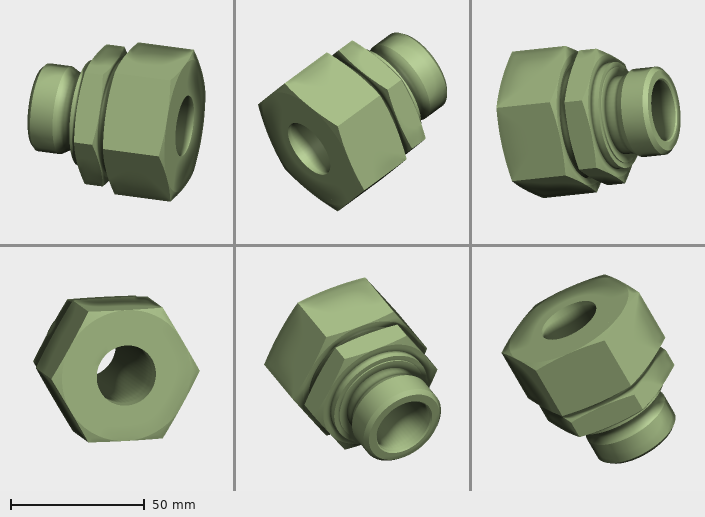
import cadquery as cq
import math


seal_front_x = 17.5
flange_x = 18.0
body_hex_start_x = 21.0
body_hex_end_x = 30.0
nut_start_x = 33.0
nut_end_x = 57.0

stud_diameter = 33.25
stud_chamfer = 1.5
stud_straight_end_x = 10.3
neck_diameter = 29.6
runout_angle = 30.0
runout_fillet = 1.8

flange_diameter = 40.0
body_hex_across_flats = 46.0
nut_across_flats = 50.0
hex_chamfer_angle = 15.0

spigot_diameter = 45.0
spigot_neck_diameter = 42.0
spigot_neck_end_x = 33.4
spigot_runout_angle = 30.0
spigot_neck_fillet = 0.75

bore_diameter = 23.0
bore_chamfer = 0.5

seal_diameter = 36.0
seal_length = 2.5


def cylinder(diameter, start_x, end_x):
    """Round bar along X."""
    return cq.Workplane("YZ", origin=(start_x, 0, 0)).circle(diameter / 2).extrude(end_x - start_x)


def revolve_about_x(profile):
    """Turn a closed outline of axial and radial positions about X."""
    return profile.close().revolve(360, (0, 0, 0), (1, 0, 0))


def chamfered_hexagon(across_flats, start_x, end_x):
    """Hexagon bar with flats facing +Z and -Z, its corners turned down by a cone at both ends."""
    across_corners = across_flats / math.cos(math.radians(30))
    flat_radius = across_flats / 2
    corner_radius = across_corners / 2
    corner_drop = (corner_radius - flat_radius) * math.tan(math.radians(hex_chamfer_angle))

    bar = cq.Workplane("YZ", origin=(start_x, 0, 0)).polygon(6, across_corners).extrude(end_x - start_x)
    turned_envelope = revolve_about_x(
        cq.Workplane("XY")
        .moveTo(start_x, 0)
        .lineTo(start_x, flat_radius)
        .lineTo(start_x + corner_drop, corner_radius)
        .lineTo(end_x - corner_drop, corner_radius)
        .lineTo(end_x, flat_radius)
        .lineTo(end_x, 0)
    )
    return bar.intersect(turned_envelope)


def make_stud():
    """Chamfered stud with a runout cone that blends into the neck."""
    stud_radius = stud_diameter / 2
    neck_radius = neck_diameter / 2
    angle = math.radians(runout_angle)

    cone_end_radius = neck_radius + runout_fillet * (1 - math.cos(angle))
    cone_end_x = stud_straight_end_x + (stud_radius - cone_end_radius) / math.tan(angle)
    neck_start_x = cone_end_x + runout_fillet * math.sin(angle)
    arc_middle = (
        neck_start_x - runout_fillet * math.sin(angle / 2),
        neck_radius + runout_fillet * (1 - math.cos(angle / 2)),
    )

    return revolve_about_x(
        cq.Workplane("XY")
        .lineTo(0, stud_radius - stud_chamfer)
        .lineTo(stud_chamfer, stud_radius)
        .lineTo(stud_straight_end_x, stud_radius)
        .lineTo(cone_end_x, cone_end_radius)
        .threePointArc(arc_middle, (neck_start_x, neck_radius))
        .lineTo(flange_x, neck_radius)
        .lineTo(flange_x, 0)
    )


def make_spigot():
    """Neck with a fillet at its root on the hexagon, then a runout cone up to the spigot in the nut."""
    neck_radius = spigot_neck_diameter / 2
    spigot_radius = spigot_diameter / 2
    fillet_sag = spigot_neck_fillet * (1 - math.sqrt(0.5))
    runout_length = (spigot_radius - neck_radius) / math.tan(math.radians(spigot_runout_angle))
    return revolve_about_x(
        cq.Workplane("XY")
        .moveTo(body_hex_end_x, 0)
        .lineTo(body_hex_end_x, neck_radius + spigot_neck_fillet)
        .threePointArc(
            (body_hex_end_x + fillet_sag, neck_radius + fillet_sag),
            (body_hex_end_x + spigot_neck_fillet, neck_radius),
        )
        .lineTo(spigot_neck_end_x, neck_radius)
        .lineTo(spigot_neck_end_x + runout_length, spigot_radius)
        .lineTo(nut_end_x, spigot_radius)
        .lineTo(nut_end_x, 0)
    )


def make_bore():
    """Through bore with a small chamfer at the stud mouth."""
    bore_radius = bore_diameter / 2
    return revolve_about_x(
        cq.Workplane("XY")
        .lineTo(0, bore_radius + bore_chamfer)
        .lineTo(bore_chamfer, bore_radius)
        .lineTo(nut_end_x, bore_radius)
        .lineTo(nut_end_x, 0)
    )


def make_seal_ring():
    """Plain ring on the neck, standing proud of the flange face."""
    seal_end_x = seal_front_x + seal_length
    outside = cylinder(seal_diameter, seal_front_x, seal_end_x)
    return outside.cut(cylinder(neck_diameter, seal_front_x, seal_end_x))


def make_body():
    """Stud, flange, hexagon and spigot in one piece, bored through and grooved for the seal."""
    body = (
        make_stud()
        .union(cylinder(flange_diameter, flange_x, body_hex_start_x))
        .union(chamfered_hexagon(body_hex_across_flats, body_hex_start_x, body_hex_end_x))
        .union(make_spigot())
    )
    return body.cut(make_bore()).cut(make_seal_ring())


def make_nut():
    """Hexagon nut around the spigot."""
    hexagon = chamfered_hexagon(nut_across_flats, nut_start_x, nut_end_x)
    return hexagon.cut(cylinder(spigot_diameter, nut_start_x, nut_end_x))


body = make_body()
seal_ring = make_seal_ring()
nut = make_nut()

result = cq.Compound.makeCompound([part.solids().val() for part in (body, seal_ring, nut)])